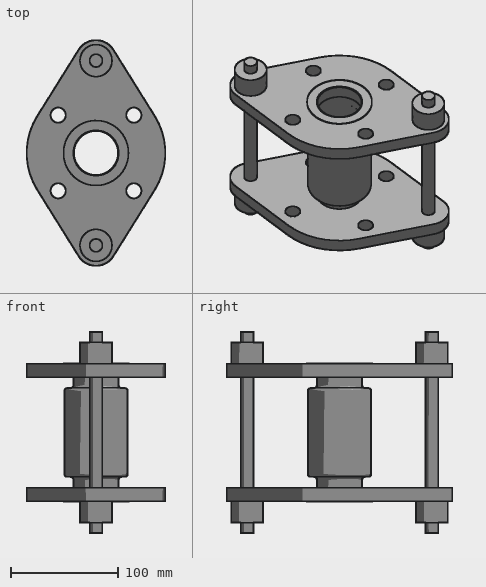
import cadquery as cq
import math

length = 211.0
width = 129.8
height = 188.0

plate_thickness = 12.7
plate_gap = 103.2
rod_offset = 86.3
mid_radius = width / 2
tip_radius = length / 2 - rod_offset
bolt_hole_diameter = 14.0
bolt_circle_diameter = 100.0
bolt_hole_count = 4
first_bolt_angle = 45

lip_diameter = 60.8
lip_thickness = 0.6

body_diameter = 59.3
neck_diameter = 42.5
bore_diameter = 41.1
body_half_height = 41.5
shoulder_radius = 2.7

rod_diameter = 12.0
nut_diameter = 30.0
nut_height = 20.0

plate_inner_z = plate_gap / 2
plate_outer_z = plate_inner_z + plate_thickness
lip_z = plate_outer_z + lip_thickness


def cylinder(diameter, bottom, top, y=0):
    """Upright cylinder between two heights, centred at x = 0."""
    return cq.Workplane("XY", origin=(0, y, bottom)).circle(diameter / 2).extrude(top - bottom)


def both_ends(upper):
    """The shape together with its mirror image below the middle plane."""
    return upper.union(upper.mirror("XY"))


def make_plate():
    """Upper plate: a large middle arc and two tip arcs joined by tangent lines."""
    tangent_angle = math.asin((mid_radius - tip_radius) / rod_offset)
    cos_t = math.cos(tangent_angle)
    sin_t = math.sin(tangent_angle)
    mid_x = mid_radius * cos_t
    mid_y = mid_radius * sin_t
    tip_x = tip_radius * cos_t
    tip_y = rod_offset + tip_radius * sin_t
    outline = (
        cq.Workplane("XY", origin=(0, 0, plate_inner_z))
        .moveTo(mid_x, -mid_y)
        .threePointArc((mid_radius, 0), (mid_x, mid_y))
        .lineTo(tip_x, tip_y)
        .threePointArc((0, length / 2), (-tip_x, tip_y))
        .lineTo(-mid_x, mid_y)
        .threePointArc((-mid_radius, 0), (-mid_x, -mid_y))
        .lineTo(-tip_x, -tip_y)
        .threePointArc((0, -length / 2), (tip_x, -tip_y))
        .close()
    )
    bolt_holes = (
        cq.Workplane("XY", origin=(0, 0, plate_inner_z))
        .polarArray(bolt_circle_diameter / 2, first_bolt_angle, 360, bolt_hole_count)
        .circle(bolt_hole_diameter / 2)
        .extrude(plate_thickness)
    )
    return outline.extrude(plate_thickness).cut(bolt_holes)


def make_sleeve():
    """Sleeve body with rounded shoulders blending into a neck at each end."""
    body = cylinder(body_diameter, -body_half_height, body_half_height)
    neck = cylinder(neck_diameter, -plate_outer_z, plate_outer_z)
    reach = body_diameter
    shoulder_zone = cq.selectors.BoxSelector(
        (-reach, -reach, -plate_inner_z), (reach, reach, plate_inner_z)
    )
    return body.union(neck).edges("%CIRCLE").edges(shoulder_zone).fillet(shoulder_radius)


def make_tie_rod(y):
    """Full-height rod with a round nut against each plate."""
    rod = cylinder(rod_diameter, -height / 2, height / 2, y=y)
    nut = cylinder(nut_diameter, plate_outer_z, plate_outer_z + nut_height, y=y)
    return rod.union(both_ends(nut))


flange = make_plate().union(cylinder(lip_diameter, plate_outer_z, lip_z))
result = make_sleeve().union(both_ends(flange))
for rod_y in (-rod_offset, rod_offset):
    result = result.union(make_tie_rod(rod_y))

result = result.cut(cylinder(bore_diameter, -lip_z, lip_z))
result = result.cut(both_ends(cylinder(neck_diameter, plate_outer_z, lip_z)))